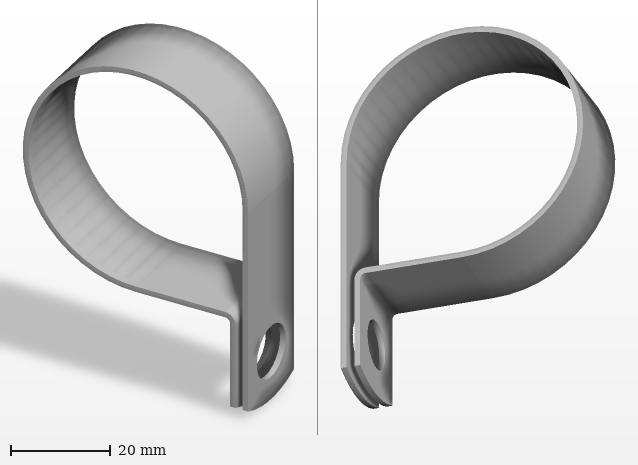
import cadquery as cq

width = 19.1
thickness = 1.25
total_height = 74.2
loop_radius = 25.8
inner_radius = loop_radius - thickness

tab_gap = 1.6
bend_radius = 2.4
bend_inner_radius = bend_radius - thickness
tab_end_radius = 23.0

short_tab_hole_diameter = 10.4
long_tab_hole_diameter = 11.9
hole_height = 11.1

tip_z = loop_radius - total_height
short_tab_outer_x = inner_radius - tab_gap
short_tab_inner_x = short_tab_outer_x - thickness
bend_x = short_tab_outer_x - bend_radius
bend_z = -inner_radius - bend_radius


def strap():
    """Bent strip: long tab, three-quarter loop, shelf, bend and short tab."""
    diagonal = 0.5 ** 0.5
    bend_mid = bend_radius * diagonal
    bend_inner_mid = bend_inner_radius * diagonal
    outline = (
        cq.Workplane("XZ")
        .moveTo(loop_radius, tip_z)
        .lineTo(loop_radius, 0)
        .threePointArc((-loop_radius * diagonal, loop_radius * diagonal), (0, -loop_radius))
        .lineTo(bend_x, -loop_radius)
        .threePointArc(
            (bend_x + bend_inner_mid, bend_z + bend_inner_mid),
            (short_tab_inner_x, bend_z),
        )
        .lineTo(short_tab_inner_x, tip_z)
        .lineTo(short_tab_outer_x, tip_z)
        .lineTo(short_tab_outer_x, bend_z)
        .threePointArc((bend_x + bend_mid, bend_z + bend_mid), (bend_x, -inner_radius))
        .lineTo(0, -inner_radius)
        .threePointArc((-inner_radius * diagonal, inner_radius * diagonal), (inner_radius, 0))
        .lineTo(inner_radius, tip_z)
        .close()
    )
    return outline.extrude(width / 2, both=True)


def tab_envelope():
    """Block around the strap whose lower end is an arc, which rounds the tab tips."""
    half_width = width / 2
    corner_rise = tab_end_radius - (tab_end_radius**2 - half_width**2) ** 0.5
    return (
        cq.Workplane("YZ")
        .moveTo(-half_width, loop_radius)
        .lineTo(-half_width, tip_z + corner_rise)
        .threePointArc((0, tip_z), (half_width, tip_z + corner_rise))
        .lineTo(half_width, loop_radius)
        .close()
        .extrude(loop_radius, both=True)
    )


def bolt_hole(tab_x, diameter):
    """Cylinder along +X that pierces the tab whose inner X limit is tab_x."""
    return (
        cq.Workplane("YZ", origin=(tab_x, 0, tip_z + hole_height))
        .circle(diameter / 2)
        .extrude(thickness)
    )


result = (
    strap()
    .intersect(tab_envelope())
    .cut(bolt_hole(short_tab_inner_x, short_tab_hole_diameter))
    .cut(bolt_hole(inner_radius, long_tab_hole_diameter))
)